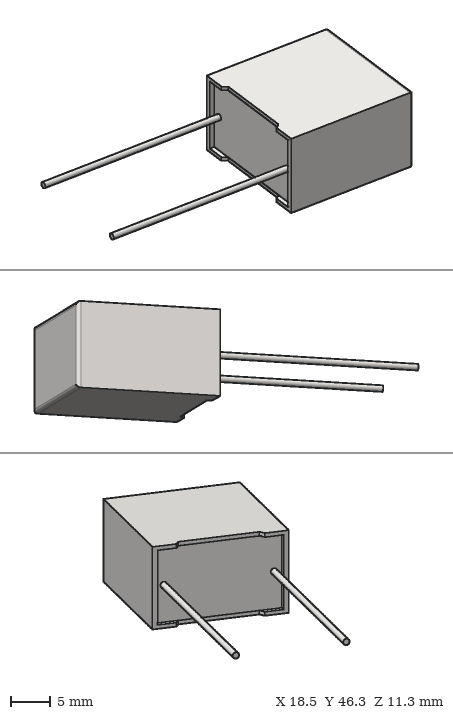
import cadquery as cq

total_length = 46.3
case_width = 18.5
case_height = 11.3
case_length = 19.25

side_wall = 0.7
top_wall = 0.55
back_wall = side_wall
back_fillet = 0.5
notch_depth = 0.7
notch_mouth_width = 12.05
notch_floor_width = 11.0

fill_recess = notch_depth
lead_diameter = 0.9
lead_pitch = 15.0

back_y = total_length / 2
rim_y = back_y - case_length
notch_floor_y = rim_y + notch_depth
fill_front_y = rim_y + fill_recess
cavity_back_y = back_y - back_wall
lead_tip_y = -total_length / 2

cavity_width = case_width - 2 * side_wall
cavity_height = case_height - 2 * top_wall
lead_positions = [-lead_pitch / 2, lead_pitch / 2]


def block(width, height, front_y, end_y):
    """Box centred in X and Z that runs from front_y to end_y."""
    return cq.Workplane("XY").box(width, end_y - front_y, height).translate((0, (front_y + end_y) / 2, 0))


def make_notch():
    """Tapered cut through the rim of the top and bottom walls."""
    outline = [
        (-notch_mouth_width / 2, rim_y),
        (-notch_floor_width / 2, notch_floor_y),
        (notch_floor_width / 2, notch_floor_y),
        (notch_mouth_width / 2, rim_y),
    ]
    return cq.Workplane("XY").polyline(outline).close().extrude(case_height / 2, both=True)


def make_case():
    """Box open at the front, with a rounded back edge and a notched rim."""
    shell = block(case_width, case_height, rim_y, back_y).faces(">Y").fillet(back_fillet)
    cavity = block(cavity_width, cavity_height, rim_y, cavity_back_y)
    return shell.cut(cavity).cut(make_notch())


def make_lead(x):
    """Round wire from its free tip to the front face of the fill."""
    wire = cq.Workplane("XZ", origin=(x, fill_front_y, 0)).circle(lead_diameter / 2)
    return wire.extrude(fill_front_y - lead_tip_y)


def make_fill():
    """Resin block that fills the cavity behind the recess."""
    return block(cavity_width, cavity_height, fill_front_y, cavity_back_y)


case = make_case()
leads = [make_lead(x) for x in lead_positions]
fill = make_fill()

result = cq.Compound.makeCompound([case.val(), fill.val(), *[lead.val() for lead in leads]])